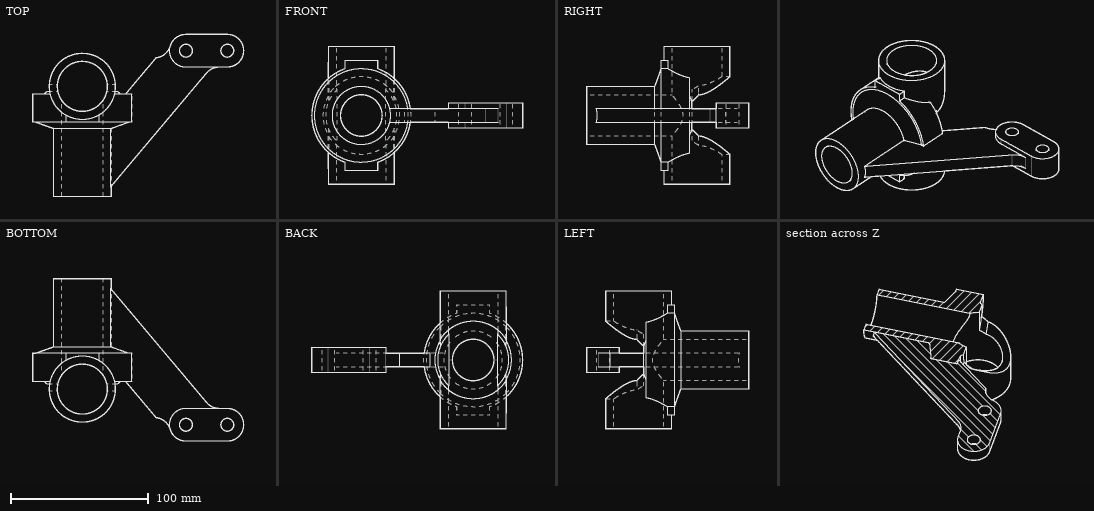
import cadquery as cq
import math


overall_length = 153.0
overall_depth = 117.8

tube_radius = 24.0
tube_bore_radius = 18.0
tube_height = 100.0

axle_radius = 21.1
axle_bore_radius = 15.0
axle_end_y = -80.0
flange_radius = 36.0
flange_back_y = -5.5
flange_front_y = -26.0
cone_base_radius = 34.0
cone_end_y = -30.6

boss_base_radius = 27.7
boss_tip_radius = 25.7
boss_back_y = -3.7

clearance_radius = 28.2
clearance_start_y = tube_radius + 1.5
clearance_taper_y = 1.2

lug_width = 24.0
lug_thickness = 5.0
lug_reach = 40.0

eye_radius = 12.0
eye_thickness = 18.4
eye_hole_radius = 4.6
eye_spacing = 30.0
eye_y = overall_depth + axle_end_y - eye_radius
outer_eye_x = overall_length - flange_radius - eye_radius
inner_eye_x = outer_eye_x - eye_spacing

arm_thickness = 10.0
arm_width = 35.2
arm_angle = math.radians(49.9)
arm_root_x = 20.7
arm_root_y = -72.8
arm_embed = 6.1
arm_upper_start = 36.7
fillet_radius = eye_radius
upper_fillet_angle = math.radians(163.5)


def cone_along_y(start_y, end_y, start_radius, end_radius):
    """Solid of revolution about Y whose radius changes evenly between two positions."""
    return (
        cq.Workplane("XY")
        .moveTo(0, start_y)
        .lineTo(start_radius, start_y)
        .lineTo(end_radius, end_y)
        .lineTo(0, end_y)
        .close()
        .revolve(360, (0, 0, 0), (0, 1, 0))
    )


def make_clearance():
    straight = cone_along_y(clearance_start_y, clearance_taper_y, clearance_radius, clearance_radius)
    taper = cone_along_y(clearance_taper_y, boss_back_y, clearance_radius, boss_tip_radius)
    return straight.union(taper)


def make_lugs():
    """One bar through the flange whose two ends stand out as the lugs."""
    return cq.Workplane("XY").box(lug_width, lug_thickness, 2 * lug_reach).translate(
        (0, flange_front_y + lug_thickness / 2, 0)
    )


def make_housing():
    """Vertical tube, flange and hollow axle."""
    tube = cq.Workplane("XY").circle(tube_radius).extrude(tube_height / 2, both=True)
    boss = cone_along_y(boss_back_y, flange_back_y, boss_tip_radius, boss_base_radius)
    flange = cone_along_y(flange_back_y, flange_front_y, flange_radius, flange_radius)
    cone = cone_along_y(flange_front_y, cone_end_y, cone_base_radius, axle_radius)
    axle = cone_along_y(cone_end_y, axle_end_y, axle_radius, axle_radius)
    tube_bore = cq.Workplane("XY").circle(tube_bore_radius).extrude(tube_height / 2, both=True)
    axle_bore = cone_along_y(0, axle_end_y, axle_bore_radius, axle_bore_radius)
    outside = tube.cut(make_clearance()).union(boss).union(flange).union(cone).union(axle)
    return outside.union(make_lugs()).cut(tube_bore).cut(axle_bore)


def arm_point(along, across):
    """XY point at a distance along the arm's lower edge and across toward its upper edge."""
    return (
        arm_root_x + along * math.cos(arm_angle) - across * math.sin(arm_angle),
        arm_root_y + along * math.sin(arm_angle) + across * math.cos(arm_angle),
    )


def make_web():
    """Slanted plate that flows into the eye plate through a concave arc on each edge."""
    eye_side_y = eye_y - eye_radius
    lower_centre_y = eye_side_y - fillet_radius
    lower_along = (
        lower_centre_y - arm_root_y + fillet_radius * math.cos(arm_angle)
    ) / math.sin(arm_angle)
    lower_start = arm_point(lower_along, 0)
    lower_end = (lower_start[0] + fillet_radius * math.sin(arm_angle), eye_side_y)

    contact_x = math.cos(upper_fillet_angle)
    contact_y = math.sin(upper_fillet_angle)
    upper_contact = (inner_eye_x + eye_radius * contact_x, eye_y + eye_radius * contact_y)
    centre_x = upper_contact[0] + fillet_radius * contact_x
    centre_y = upper_contact[1] + fillet_radius * contact_y
    offset_x = centre_x - arm_root_x
    offset_y = centre_y - arm_root_y
    centre_along = offset_x * math.cos(arm_angle) + offset_y * math.sin(arm_angle)
    centre_across = offset_y * math.cos(arm_angle) - offset_x * math.sin(arm_angle)
    half_chord = math.sqrt(fillet_radius**2 - (centre_across - arm_width) ** 2)
    upper_corner = arm_point(centre_along - half_chord, arm_width)

    return (
        cq.Workplane("XY")
        .moveTo(*arm_point(-arm_embed, 0))
        .lineTo(*lower_start)
        .radiusArc(lower_end, fillet_radius)
        .lineTo(outer_eye_x, eye_y)
        .lineTo(inner_eye_x, eye_y)
        .lineTo(*upper_contact)
        .radiusArc(upper_corner, fillet_radius)
        .lineTo(*arm_point(arm_upper_start, arm_width))
        .close()
        .extrude(arm_thickness / 2, both=True)
    )


def make_arm(housing):
    """Arm web and eye plate, trimmed to seat against the outside of the housing."""
    eye_centre_x = (inner_eye_x + outer_eye_x) / 2
    eye = (
        cq.Workplane("XY")
        .center(eye_centre_x, eye_y)
        .slot2D(eye_spacing + 2 * eye_radius, 2 * eye_radius)
        .extrude(eye_thickness / 2, both=True)
    )
    holes = (
        cq.Workplane("XY")
        .pushPoints([(inner_eye_x, eye_y), (outer_eye_x, eye_y)])
        .circle(eye_hole_radius)
        .extrude(eye_thickness / 2, both=True)
    )
    return make_web().union(eye).cut(holes).cut(housing)


housing = make_housing()
arm = make_arm(housing)

result = cq.Compound.makeCompound([housing.solids().val(), arm.solids().val()])